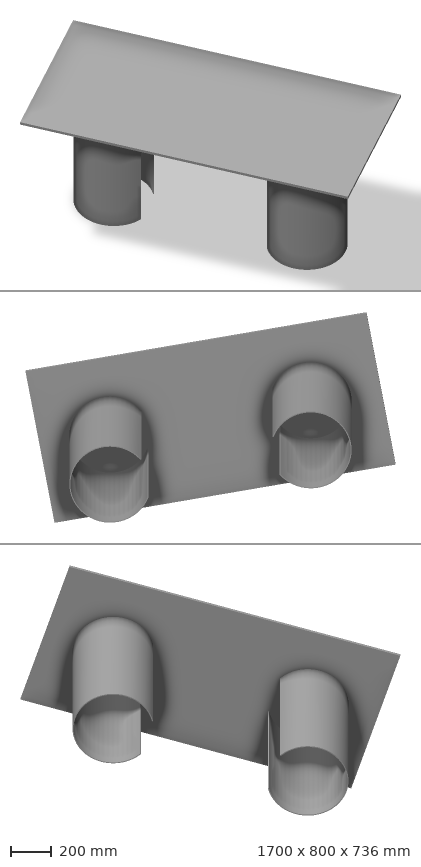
import cadquery as cq
import math

TOP_LENGTH = 1700
TOP_WIDTH = 800.0
TOP_THICKNESS = 15.0
TABLE_HEIGHT = 736.0

LEG_WALL = 5.0
LEG_INSET = 150.0
HALF_SWEEP = math.radians(150)

leg_radius = TOP_WIDTH / 4
leg_height = TABLE_HEIGHT - TOP_THICKNESS
leg_axis_x = TOP_LENGTH / 2 - LEG_INSET - leg_radius


def make_tabletop():
    """Plain flat slab resting on the legs."""
    return (
        cq.Workplane("XY")
        .workplane(offset=leg_height)
        .rect(TOP_LENGTH, TOP_WIDTH)
        .extrude(TOP_THICKNESS)
    )


def make_leg(side):
    """C-shaped shell with radial end faces; side is +1 or -1 along X."""
    inner_radius = leg_radius - LEG_WALL

    def point_on_leg(radius, angle):
        """Point at an angle measured about the leg axis from the closed side."""
        return (
            side * (leg_axis_x + radius * math.cos(angle)),
            radius * math.sin(angle),
        )

    return (
        cq.Workplane("XY")
        .moveTo(*point_on_leg(leg_radius, -HALF_SWEEP))
        .threePointArc(point_on_leg(leg_radius, 0), point_on_leg(leg_radius, HALF_SWEEP))
        .lineTo(*point_on_leg(inner_radius, HALF_SWEEP))
        .threePointArc(point_on_leg(inner_radius, 0), point_on_leg(inner_radius, -HALF_SWEEP))
        .close()
        .extrude(leg_height)
    )


tabletop = make_tabletop()
legs = [make_leg(side) for side in (-1, 1)]

result = cq.Compound.makeCompound([tabletop.val(), *[leg.val() for leg in legs]])